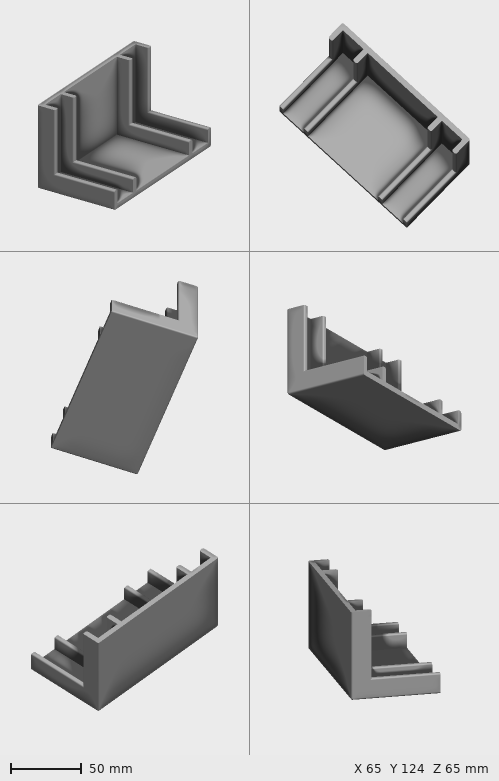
import cadquery as cq

leg_length = 65.0
bracket_width = 124.0

wall = 4.0
rib_height = 11.0
rib_gap = 20.0
edge_radius = 1.2

leg_depth = wall + rib_height
outer_rib_y = (bracket_width - wall) / 2
inner_rib_y = outer_rib_y - wall - rib_gap


def l_body(depth, width, center_y):
    """L-shaped body with legs of the given depth, centred on center_y along Y."""
    profile = [
        (0, 0),
        (leg_length, 0),
        (leg_length, depth),
        (depth, depth),
        (depth, leg_length),
        (0, leg_length),
    ]
    return (
        cq.Workplane("XZ", origin=(0, center_y, 0))
        .polyline(profile)
        .close()
        .extrude(width / 2, both=True)
    )


def rib(center_y):
    """L-shaped rib with the long edges of its two inner faces rounded."""
    body = l_body(leg_depth, wall, center_y)
    mid_leg = (leg_depth + leg_length) / 2
    for side in (-1, 1):
        side_y = center_y + side * wall / 2
        upright_edge = cq.selectors.NearestToPointSelector((leg_depth, side_y, mid_leg))
        floor_edge = cq.selectors.NearestToPointSelector((mid_leg, side_y, leg_depth))
        body = body.edges(upright_edge + floor_edge).fillet(edge_radius)
    return body


def outer_block():
    """Block enclosing the bracket, rounded along its back, bottom and corner edges."""
    block = cq.Workplane("XY").box(
        leg_length, bracket_width, leg_length, centered=(False, True, False)
    )
    outer_edges = "(<X and |Z) or (<Z and |X) or (<X and <Z)"
    return block.edges(outer_edges).fillet(edge_radius)


bracket = l_body(wall, bracket_width, 0)
for rib_y in (-outer_rib_y, -inner_rib_y, inner_rib_y, outer_rib_y):
    bracket = bracket.union(rib(rib_y))

result = bracket.intersect(outer_block())